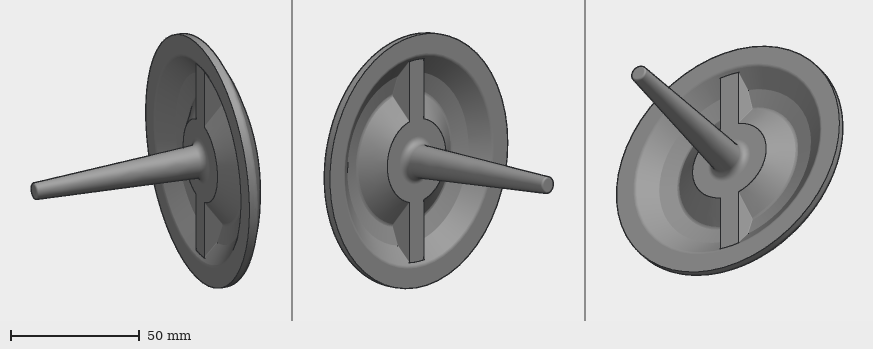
import cadquery as cq
import math

rim_radius = 50.0
dome_height = 18.3
dome_sphere_radius = 91.5
rim_rounding = 2.4

recess_mouth_radius = 41.6
recess_floor_radius = 34.0
recess_floor_depth = 5.8
mouth_rounding = 1.8
floor_corner_rounding = 0.3

hub_face_depth = 1.2
hub_face_radius = 16.5
hub_foot_depth = 8.0
hub_foot_radius = 26.5
hub_foot_rounding = 1.4

rib_width = 8.1
rib_draft_angle = 20.0
rib_foot_rounding = 0.3

stem_length = 69.4
stem_root_radius = 6.6
stem_tip_radius = 3.3
stem_root_rounding = 2.9
stem_tip_rounding = 0.8


def dome_height_at(radius):
    """Height of the dome sphere above the rim face at a distance from the axis."""
    sphere_center = dome_height - dome_sphere_radius
    return sphere_center + math.sqrt(dome_sphere_radius**2 - radius**2)


def turn(profile):
    """Close a half profile in XY and revolve it about the Y axis."""
    return profile.close().revolve(360, (0, 0, 0), (0, 1, 0))


def ring_edges(body, radius):
    """Circular edges of the given radius."""
    tolerance = 0.001
    return body.edges("%CIRCLE").filter(lambda edge: abs(edge.radius() - radius) < tolerance)


def make_disc():
    """Solid dome with its outer edge rounded."""
    middle_radius = rim_radius / 2
    profile = (
        cq.Workplane("XY")
        .lineTo(rim_radius, 0)
        .lineTo(rim_radius, dome_height_at(rim_radius))
        .threePointArc((middle_radius, dome_height_at(middle_radius)), (0, dome_height))
    )
    return turn(profile).faces(">Y").edges().fillet(rim_rounding)


def make_recess():
    """Space hollowed out of the disc around and in front of the hub."""
    profile = (
        cq.Workplane("XY")
        .lineTo(recess_mouth_radius, 0)
        .lineTo(recess_floor_radius, recess_floor_depth)
        .lineTo(hub_foot_radius, hub_foot_depth)
        .lineTo(hub_face_radius, hub_face_depth)
        .lineTo(0, hub_face_depth)
    )
    recess = turn(profile)
    recess = ring_edges(recess, hub_foot_radius).fillet(hub_foot_rounding)
    return ring_edges(recess, recess_floor_radius).fillet(floor_corner_rounding)


def make_rib():
    """Bar level with the hub face, widening down to the deepest part of the recess."""
    half_top = rib_width / 2
    half_foot = half_top + (hub_foot_depth - hub_face_depth) * math.tan(math.radians(rib_draft_angle))
    return (
        cq.Workplane("XY")
        .moveTo(-half_top, hub_face_depth)
        .lineTo(half_top, hub_face_depth)
        .lineTo(half_foot, hub_foot_depth)
        .lineTo(-half_foot, hub_foot_depth)
        .close()
        .extrude(recess_mouth_radius, both=True)
    )


def make_stem():
    """Tapered pin growing from the hub face toward -Y."""
    profile = (
        cq.Workplane("XY")
        .moveTo(0, hub_face_depth)
        .lineTo(stem_root_radius, hub_face_depth)
        .lineTo(stem_tip_radius, -stem_length)
        .lineTo(0, -stem_length)
    )
    return turn(profile).faces("<Y").edges().fillet(stem_tip_rounding)


def is_rib_foot(edge):
    """True for an edge where a sloping side of the rib runs into the recess."""
    tolerance = 0.001
    side_slope = math.tan(math.radians(rib_draft_angle))

    def on_rib_side(point):
        side_x = rib_width / 2 + (point.y - hub_face_depth) * side_slope
        return math.isclose(abs(point.x), side_x, abs_tol=tolerance)

    below_hub_face = edge.positionAt(0.5).y > hub_face_depth + tolerance
    return below_hub_face and all(on_rib_side(edge.positionAt(t)) for t in (0, 0.5, 1))


recess = make_recess().cut(make_rib())
recess = recess.edges().filter(is_rib_foot).fillet(rib_foot_rounding)

result = make_disc().cut(recess).union(make_stem())
result = ring_edges(result, recess_mouth_radius).fillet(mouth_rounding)
result = ring_edges(result, stem_root_radius).fillet(stem_root_rounding)